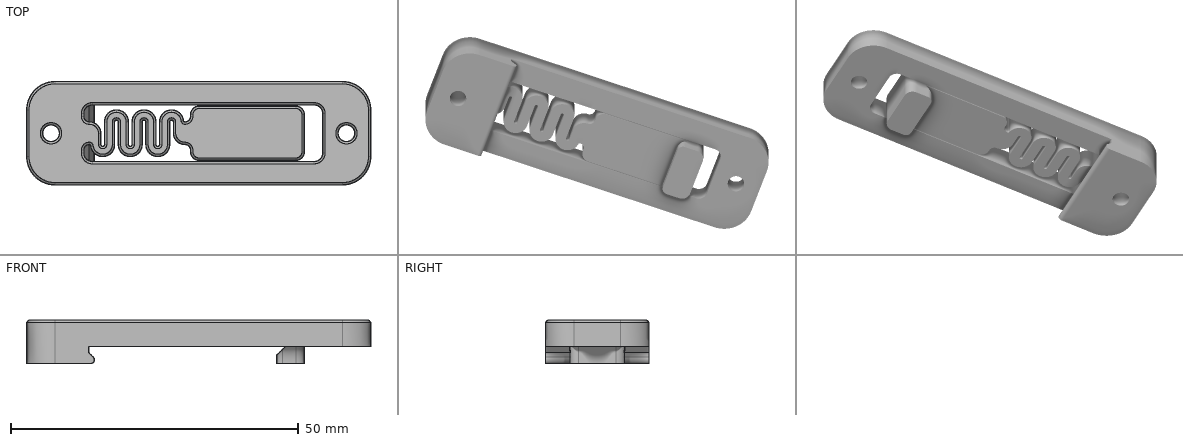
import cadquery as cq
import math

DIAGONAL = math.sqrt(0.5)

LENGTH = 59.9
WIDTH = 18.0
HEIGHT = 7.6
PLATE_THICKNESS = 4.7
CORNER_RADIUS = 5.0
TOP_CHAMFER = 0.4
PLATE_BOTTOM = HEIGHT - PLATE_THICKNESS

HOLE_DIAMETER = 2.9
HOLE_INSET = 4.25

BLOCK_LENGTH = 10.85
NOSE_X = 11.8
NOSE_RADIUS = 0.65
CREST_X = 10.1
CREST_RADIUS = 0.9
NOSE_CENTRE = (NOSE_X - NOSE_RADIUS, NOSE_RADIUS)
NOSE_TANGENT = (NOSE_CENTRE[0] + NOSE_RADIUS * DIAGONAL, NOSE_CENTRE[1] + NOSE_RADIUS * DIAGONAL)
CREST_TANGENT_X = CREST_X + CREST_RADIUS * DIAGONAL
CREST_TANGENT = (CREST_TANGENT_X, NOSE_TANGENT[1] + NOSE_TANGENT[0] - CREST_TANGENT_X)
CREST_Z = CREST_TANGENT[1] + CREST_RADIUS * (1 - DIAGONAL)

POCKET_LEFT = 9.95
POCKET_RIGHT = 51.5
POCKET_HALF_WIDTH = 4.9
POCKET_RADIUS = 1.5

ARM_PITCH = 2.4
ARM_WIDTH = 1.8
BEND_Y = 2.0
SPRING_CENTRE_X = 19.2
BENDS_PER_SIDE = 3
OUTER_BEND_RADIUS = (ARM_PITCH + ARM_WIDTH) / 2
INNER_BEND_RADIUS = (ARM_PITCH - ARM_WIDTH) / 2
FIRST_BEND_X = SPRING_CENTRE_X - (BENDS_PER_SIDE - 0.5) * ARM_PITCH

TIP_RADIUS = 0.25
TIP_OFFSET = math.sqrt((OUTER_BEND_RADIUS + TIP_RADIUS) ** 2 - TIP_RADIUS**2)
ROOT_X = FIRST_BEND_X - TIP_OFFSET
ROOT_RADIUS = ROOT_X - POCKET_LEFT

PAD_LEFT = 2 * SPRING_CENTRE_X - POCKET_LEFT
PAD_RIGHT = 48.35
PAD_HALF_WIDTH = 4.75
PAD_RADIUS = 1.5

CATCH_LEFT = 43.5
CATCH_LEFT_RADIUS = 1.0
CATCH_NOSE_HEIGHT = 1.45


def quarter_arc(wire, start, corner, end):
    """Add a quarter-circle from start to end that rounds off the square corner."""
    centre = (start[0] + end[0] - corner[0], start[1] + end[1] - corner[1])
    middle = (
        centre[0] + DIAGONAL * (corner[0] - centre[0]),
        centre[1] + DIAGONAL * (corner[1] - centre[1]),
    )
    return wire.threePointArc(middle, end)


def spring_side(wire, side):
    """One edge of the spring: side=1 runs pocket to pad, side=-1 the half-turn copy back."""

    def place(x, y):
        return (SPRING_CENTRE_X + side * (x - SPRING_CENTRE_X), side * y)

    wire = quarter_arc(
        wire,
        place(POCKET_LEFT, BEND_Y + ROOT_RADIUS),
        place(POCKET_LEFT, BEND_Y),
        place(ROOT_X, BEND_Y),
    )
    slot_x = FIRST_BEND_X - INNER_BEND_RADIUS
    neck_radius = slot_x - ROOT_X
    wire = quarter_arc(
        wire,
        place(ROOT_X, BEND_Y),
        place(slot_x, BEND_Y),
        place(slot_x, BEND_Y - neck_radius),
    )
    for bend in range(BENDS_PER_SIDE):
        low_x = FIRST_BEND_X + 2 * bend * ARM_PITCH
        high_x = low_x + ARM_PITCH
        arc_end = (high_x + OUTER_BEND_RADIUS, BEND_Y)
        if bend == BENDS_PER_SIDE - 1:
            reach = OUTER_BEND_RADIUS / (OUTER_BEND_RADIUS + TIP_RADIUS)
            arc_end = (high_x + reach * TIP_OFFSET, BEND_Y + reach * TIP_RADIUS)
        wire = (
            wire.lineTo(*place(low_x - INNER_BEND_RADIUS, -BEND_Y))
            .threePointArc(
                place(low_x, -BEND_Y - INNER_BEND_RADIUS),
                place(low_x + INNER_BEND_RADIUS, -BEND_Y),
            )
            .lineTo(*place(high_x - OUTER_BEND_RADIUS, BEND_Y))
            .threePointArc(place(high_x, BEND_Y + OUTER_BEND_RADIUS), place(*arc_end))
        )
    wire = wire.tangentArcPoint(place(PAD_LEFT - ROOT_RADIUS, BEND_Y), relative=False)
    return quarter_arc(
        wire,
        place(PAD_LEFT - ROOT_RADIUS, BEND_Y),
        place(PAD_LEFT, BEND_Y),
        place(PAD_LEFT, BEND_Y + ROOT_RADIUS),
    )


def rounded_rectangle(wire, left, right, half_width, radius, side):
    """Go round a rectangle from its left side back to it, clockwise for side=1 and reversed for -1."""
    y = side * half_width
    inset = side * radius
    wire = quarter_arc(wire.lineTo(left, y - inset), (left, y - inset), (left, y), (left + radius, y))
    wire = quarter_arc(wire.lineTo(right - radius, y), (right - radius, y), (right, y), (right, y - inset))
    wire = quarter_arc(wire.lineTo(right, inset - y), (right, inset - y), (right, -y), (right - radius, -y))
    return quarter_arc(wire.lineTo(left + radius, -y), (left + radius, -y), (left, -y), (left, inset - y))


def pocket_gap():
    """The clearance between the frame and the one-piece spring and pad."""
    wire = cq.Workplane("XY", origin=(0, 0, CREST_Z)).moveTo(POCKET_LEFT, BEND_Y + ROOT_RADIUS)
    wire = spring_side(wire, 1)
    wire = rounded_rectangle(wire, PAD_LEFT, PAD_RIGHT, PAD_HALF_WIDTH, PAD_RADIUS, 1)
    wire = spring_side(wire.lineTo(PAD_LEFT, -BEND_Y - ROOT_RADIUS), -1)
    wire = rounded_rectangle(wire, POCKET_LEFT, POCKET_RIGHT, POCKET_HALF_WIDTH, POCKET_RADIUS, -1)
    return wire.close().extrude(HEIGHT - CREST_Z)


def rounded_body():
    """Full-height bar with rounded corners, cut back to the plate beyond the end block."""
    bar = cq.Workplane("XY").box(LENGTH, WIDTH, HEIGHT, centered=(False, True, False))
    bar = bar.edges("|Z").fillet(CORNER_RADIUS)
    relief = (
        cq.Workplane("XY")
        .box(LENGTH - BLOCK_LENGTH, WIDTH, PLATE_BOTTOM, centered=(False, True, False))
        .translate((BLOCK_LENGTH, 0, 0))
    )
    return bar.cut(relief)


def lip():
    """Full-width hooking lip, its crest bridging the pocket where that enters the end block."""
    half_slope_angle = math.radians(45) / 2
    crest_arc_middle = (
        CREST_X + CREST_RADIUS * math.sin(half_slope_angle),
        CREST_Z - CREST_RADIUS * (1 - math.cos(half_slope_angle)),
    )
    nose_arc_middle = (
        NOSE_CENTRE[0] + NOSE_RADIUS * math.cos(half_slope_angle),
        NOSE_CENTRE[1] - NOSE_RADIUS * math.sin(half_slope_angle),
    )
    profile = (
        cq.Workplane("XZ")
        .moveTo(CREST_X, 0)
        .lineTo(CREST_X, CREST_Z)
        .threePointArc(crest_arc_middle, CREST_TANGENT)
        .lineTo(*NOSE_TANGENT)
        .threePointArc(nose_arc_middle, (NOSE_CENTRE[0], 0))
        .close()
    )
    return profile.extrude(WIDTH / 2, both=True)


def catch():
    """Block under the pad end, the top of its nose sloping at 45 degrees."""
    length = PAD_RIGHT - CATCH_LEFT
    block = cq.Workplane("XY").box(length, 2 * PAD_HALF_WIDTH, PLATE_BOTTOM, centered=(False, True, False))
    block = block.edges("|Z and <X").fillet(CATCH_LEFT_RADIUS)
    block = block.edges("|Z and >X").fillet(PAD_RADIUS)
    slope_run = PLATE_BOTTOM - CATCH_NOSE_HEIGHT
    wedge = (
        cq.Workplane("XZ")
        .moveTo(0, CATCH_NOSE_HEIGHT)
        .lineTo(slope_run, PLATE_BOTTOM)
        .lineTo(0, PLATE_BOTTOM)
        .close()
        .extrude(PAD_HALF_WIDTH, both=True)
    )
    return block.cut(wedge).translate((CATCH_LEFT, 0, 0))


screw_holes = (
    cq.Workplane("XY")
    .pushPoints([(HOLE_INSET, 0), (LENGTH - HOLE_INSET, 0)])
    .circle(HOLE_DIAMETER / 2)
    .extrude(HEIGHT)
)
frame = rounded_body().cut(pocket_gap()).cut(screw_holes)
frame = frame.faces(">Z").chamfer(TOP_CHAMFER)
result = frame.union(lip()).union(catch())